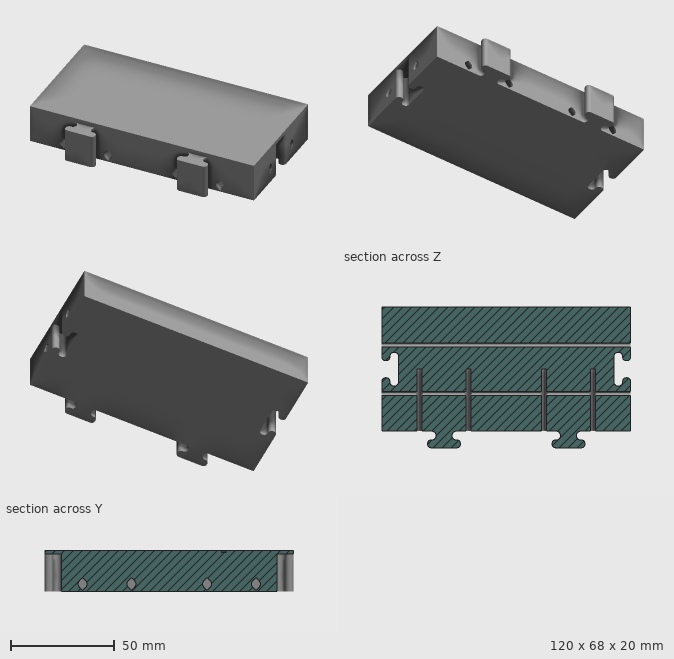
import cadquery as cq
import math

LENGTH = 120.0
DEPTH = LENGTH / 2
HEIGHT = LENGTH / 6
CELL = LENGTH / 2
CELL_CENTERS = (CELL / 2, LENGTH - CELL / 2)

JOINT_REACH = LENGTH / 15
JOINT_GAP = JOINT_REACH / 2
NECK_HALF_WIDTH = JOINT_REACH / 2
HEAD_HALF_WIDTH = JOINT_REACH
JOINT_ROUNDING = 1.8
JOINT_ROOT = 1.2
TONGUE_HEIGHT = 17.5
GROOVE_HEIGHT = 18.0

ROD_DIAMETER = 4.2
ROD_HOLE_HEIGHT = 5.6
ROD_OFFSET = 11.8
LONG_ROD_Z = 7.7
CROSS_ROD_Z = 3.7
CROSS_ROD_DEPTH = DEPTH / 2

INLAY_DEPTH = 1.0
UPRIGHT_STROKE = 1.9
LEVEL_STROKE = 1.5
BOWL_HALF_WIDTH = 4.9
BOWL_HALF_HEIGHT = 5.8
BOWL_Y = 31.9
ARC_BOWL_X = 29.0
ARC_ARM_LENGTH = 3.0
STEM_BOWL_X = 90.1
STEM_BOTTOM_Y = 21.5


def joint_bar(height):
    """T-shaped bar reaching toward -Y, with a flared neck rooted behind y = 0."""
    r = JOINT_ROUNDING
    mouth = NECK_HALF_WIDTH + r
    return (
        cq.Workplane("XY")
        .moveTo(0, JOINT_ROOT)
        .lineTo(mouth, JOINT_ROOT)
        .lineTo(mouth, 0)
        .radiusArc((NECK_HALF_WIDTH, -r), -r)
        .lineTo(NECK_HALF_WIDTH, r - JOINT_GAP)
        .radiusArc((mouth, -JOINT_GAP), -r)
        .lineTo(HEAD_HALF_WIDTH - r, -JOINT_GAP)
        .radiusArc((HEAD_HALF_WIDTH, -JOINT_GAP - r), r)
        .lineTo(HEAD_HALF_WIDTH, r - JOINT_REACH)
        .radiusArc((HEAD_HALF_WIDTH - r, -JOINT_REACH), r)
        .lineTo(0, -JOINT_REACH)
        .mirrorY()
        .extrude(height)
    )


def tongues():
    """One joint tongue on the front face of each cell."""
    bar = joint_bar(TONGUE_HEIGHT)
    return [bar.translate((x, 0, 0)) for x in CELL_CENTERS]


def grooves():
    """Matching grooves, open below, in the middle of both end faces."""
    bar = joint_bar(GROOVE_HEIGHT)
    left = bar.rotate((0, 0, 0), (0, 0, 1), 90).translate((0, DEPTH / 2, 0))
    right = left.mirror("YZ").translate((LENGTH, 0, 0))
    return [left, right]


def rod_hole(plane, length):
    """Rod hole along the plane normal, centered on the plane origin."""
    radius = ROD_DIAMETER / 2
    half_side = radius * math.sin(math.radians(45))
    top = ROD_HOLE_HEIGHT / 2
    half_flat = 2 * half_side - top
    return (
        cq.Workplane(plane)
        .moveTo(half_side, half_side)
        .lineTo(half_flat, top)
        .lineTo(-half_flat, top)
        .lineTo(-half_side, half_side)
        .threePointArc((-radius, 0), (-half_side, -half_side))
        .lineTo(-half_flat, -top)
        .lineTo(half_flat, -top)
        .lineTo(half_side, -half_side)
        .threePointArc((radius, 0), (half_side, half_side))
        .close()
        .extrude(length)
    )


def rod_holes():
    """Two through holes along the block and a pair of blind holes beside each tongue."""
    holes = []
    for side in (-1, 1):
        y = DEPTH / 2 + side * ROD_OFFSET
        plane = cq.Plane(origin=(0, y, LONG_ROD_Z), xDir=(0, 1, 0), normal=(1, 0, 0))
        holes.append(rod_hole(plane, LENGTH))
        for center in CELL_CENTERS:
            origin = (center + side * ROD_OFFSET, 0, CROSS_ROD_Z)
            plane = cq.Plane(origin=origin, xDir=(-1, 0, 0), normal=(0, 1, 0))
            holes.append(rod_hole(plane, CROSS_ROD_DEPTH))
    return holes


def inlay_plane(x):
    """Floor of a letter pocket, with its origin at the bowl center."""
    return cq.Workplane("XY", origin=(x, BOWL_Y, HEIGHT - INLAY_DEPTH))


def bowl(x):
    """Oval ring that forms the round part of a letter."""
    inner_half_width = BOWL_HALF_WIDTH - UPRIGHT_STROKE
    inner_half_height = BOWL_HALF_HEIGHT - LEVEL_STROKE
    outer = inlay_plane(x).ellipse(BOWL_HALF_WIDTH, BOWL_HALF_HEIGHT).extrude(INLAY_DEPTH)
    inner = inlay_plane(x).ellipse(inner_half_width, inner_half_height).extrude(INLAY_DEPTH)
    return outer.cut(inner)


def make_arc_inlay():
    """Open letter: the right half of a bowl with two straight arms toward -X."""
    left_half = (
        inlay_plane(ARC_BOWL_X - BOWL_HALF_WIDTH / 2)
        .rect(BOWL_HALF_WIDTH, 2 * BOWL_HALF_HEIGHT)
        .extrude(INLAY_DEPTH)
    )
    arm_y = BOWL_HALF_HEIGHT - LEVEL_STROKE / 2
    arms = (
        inlay_plane(ARC_BOWL_X - ARC_ARM_LENGTH / 2)
        .pushPoints([(0, -arm_y), (0, arm_y)])
        .rect(ARC_ARM_LENGTH, LEVEL_STROKE)
        .extrude(INLAY_DEPTH)
    )
    return bowl(ARC_BOWL_X).cut(left_half).union(arms)


def make_stem_inlay():
    """Closed letter: a bowl with a stem along its left side that runs on toward -Y."""
    stem_top = BOWL_HALF_HEIGHT
    stem_bottom = STEM_BOTTOM_Y - BOWL_Y
    stem = (
        inlay_plane(STEM_BOWL_X)
        .moveTo(-BOWL_HALF_WIDTH, stem_bottom)
        .rect(UPRIGHT_STROKE, stem_top - stem_bottom, centered=False)
        .extrude(INLAY_DEPTH)
    )
    return bowl(STEM_BOWL_X).union(stem)


def make_board(inlays):
    """Board block with tongues, grooves, rod holes and pockets that fit the inlays."""
    board = cq.Workplane("XY").box(LENGTH, DEPTH, HEIGHT, centered=False)
    for tongue in tongues():
        board = board.union(tongue)
    for cutter in grooves() + rod_holes() + inlays:
        board = board.cut(cutter)
    return board


arc_inlay = make_arc_inlay()
stem_inlay = make_stem_inlay()
board = make_board([arc_inlay, stem_inlay])

result = cq.Compound.makeCompound([board.val(), arc_inlay.val(), stem_inlay.val()])